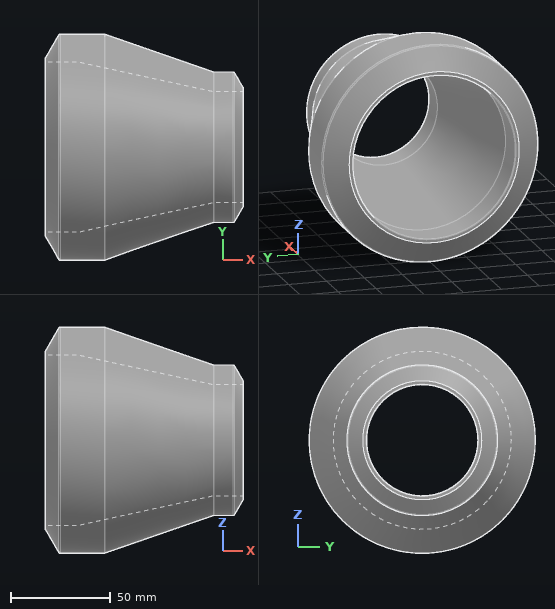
import cadquery as cq
import math

LENGTH = 100.0
LARGE_OUTER_DIA = 114.3
LARGE_INNER_DIA = 85.9
SMALL_OUTER_DIA = 76.1
SMALL_INNER_DIA = 56.1
LARGE_CYLINDER_LENGTH = 30.0
SMALL_CYLINDER_LENGTH = 15.0
LARGE_BORE_LENGTH = 17.0

BEVEL_ANGLE = 30.0
ROOT_FACE = 2.0
EDGE_RADIUS = 1.0
BORE_EDGE_RADIUS = 0.3

EDGE_TOLERANCE = 0.01

LARGE_OUTER_RADIUS = LARGE_OUTER_DIA / 2
LARGE_INNER_RADIUS = LARGE_INNER_DIA / 2
SMALL_OUTER_RADIUS = SMALL_OUTER_DIA / 2
SMALL_INNER_RADIUS = SMALL_INNER_DIA / 2
TAPER_START = LARGE_CYLINDER_LENGTH
TAPER_END = LENGTH - SMALL_CYLINDER_LENGTH


def bevel_depth(outer_radius, inner_radius):
    """Axial length of the bevel from the root face out to the outer cylinder."""
    bevel_height = outer_radius - inner_radius - ROOT_FACE
    return bevel_height * math.tan(math.radians(BEVEL_ANGLE))


LARGE_BEVEL_END = bevel_depth(LARGE_OUTER_RADIUS, LARGE_INNER_RADIUS)
SMALL_BEVEL_START = LENGTH - bevel_depth(SMALL_OUTER_RADIUS, SMALL_INNER_RADIUS)


def make_reducer_wall():
    """Revolve the wall section, with its sharp bevels, about the X axis."""
    section = (
        cq.Workplane("XY")
        .moveTo(0, LARGE_INNER_RADIUS)
        .lineTo(0, LARGE_INNER_RADIUS + ROOT_FACE)
        .lineTo(LARGE_BEVEL_END, LARGE_OUTER_RADIUS)
        .lineTo(TAPER_START, LARGE_OUTER_RADIUS)
        .lineTo(TAPER_END, SMALL_OUTER_RADIUS)
        .lineTo(SMALL_BEVEL_START, SMALL_OUTER_RADIUS)
        .lineTo(LENGTH, SMALL_INNER_RADIUS + ROOT_FACE)
        .lineTo(LENGTH, SMALL_INNER_RADIUS)
        .lineTo(TAPER_END, SMALL_INNER_RADIUS)
        .lineTo(LARGE_BORE_LENGTH, LARGE_INNER_RADIUS)
        .close()
    )
    return section.revolve(360, (0, 0, 0), (1, 0, 0))


def round_edge(body, edge_x, edge_radius, rounding):
    """Round the circular edge that lies at edge_x and has the given radius."""

    def is_wanted(edge):
        bounds = edge.BoundingBox()
        same_x = abs(bounds.center.x - edge_x) < EDGE_TOLERANCE
        same_radius = abs(bounds.ylen / 2 - edge_radius) < EDGE_TOLERANCE
        return same_x and same_radius and bounds.xlen < EDGE_TOLERANCE

    return body.edges("%CIRCLE").filter(is_wanted).fillet(rounding)


result = make_reducer_wall()

result = round_edge(result, LARGE_BEVEL_END, LARGE_OUTER_RADIUS, EDGE_RADIUS)
result = round_edge(result, TAPER_START, LARGE_OUTER_RADIUS, EDGE_RADIUS)
result = round_edge(result, TAPER_END, SMALL_OUTER_RADIUS, EDGE_RADIUS)
result = round_edge(result, SMALL_BEVEL_START, SMALL_OUTER_RADIUS, EDGE_RADIUS)

result = round_edge(result, 0, LARGE_INNER_RADIUS, BORE_EDGE_RADIUS)
result = round_edge(result, LENGTH, SMALL_INNER_RADIUS, BORE_EDGE_RADIUS)